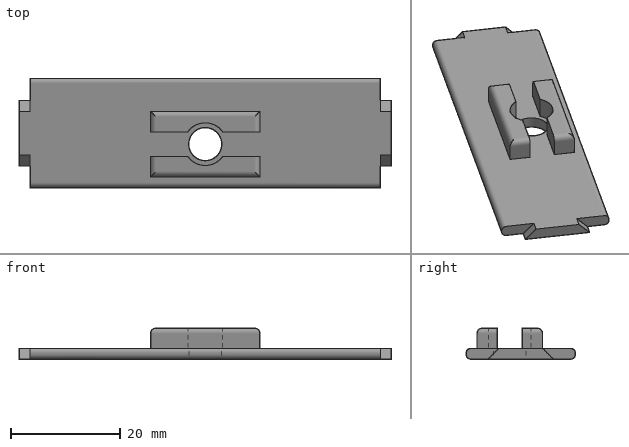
import cadquery as cq

overall_length = 68.0
overall_height = 5.7

plate_length = 64.0
plate_width = 20.0
plate_thickness = 2.0
plate_edge_radius = 0.9

tab_top_width = 8.0
tab_bottom_width = tab_top_width + 2 * plate_thickness

rail_length = 20.0
rail_span = 12.0
rail_gap = 4.5
rail_edge_radius = 1.0
rail_height = overall_height - plate_thickness
rail_width = (rail_span - rail_gap) / 2

hole_y = -2.0
hole_diameter = 6.0
head_clearance_diameter = 7.8


def make_plate():
    """Flat plate with both long edges rounded above and below."""
    plate = cq.Workplane("XY").box(
        plate_length, plate_width, plate_thickness, centered=(True, True, False)
    )
    long_edges = plate.edges("|X")
    return long_edges.fillet(plate_edge_radius)


def make_tab_bar():
    """Dovetail bar running through the plate and forming a tab at each end."""
    half_bottom = tab_bottom_width / 2
    half_top = tab_top_width / 2
    profile = [
        (-half_bottom, 0),
        (half_bottom, 0),
        (half_top, plate_thickness),
        (-half_top, plate_thickness),
    ]
    return cq.Workplane("YZ").polyline(profile).close().extrude(overall_length / 2, both=True)


def make_rail(side):
    """Rail on the +Y (side = 1) or -Y (side = -1) side of the hole, inner top edge left sharp."""
    centre_y = hole_y + side * (rail_gap + rail_width) / 2
    rail = (
        cq.Workplane("XY", origin=(0, centre_y, plate_thickness))
        .box(rail_length, rail_width, rail_height, centered=(True, True, False))
    )
    outer_edge = ">Y" if side > 0 else "<Y"
    rounded_edges = rail.faces(">Z").edges(f"|Y or {outer_edge}")
    return rounded_edges.fillet(rail_edge_radius)


def make_hole_cutter(diameter, bottom_z):
    """Vertical cylinder on the hole axis, from bottom_z up to the top of the rails."""
    return (
        cq.Workplane("XY", origin=(0, hole_y, bottom_z))
        .circle(diameter / 2)
        .extrude(overall_height - bottom_z)
    )


result = make_plate().union(make_tab_bar())
for rail_side in (1, -1):
    result = result.union(make_rail(rail_side))
result = result.cut(make_hole_cutter(head_clearance_diameter, plate_thickness))
result = result.cut(make_hole_cutter(hole_diameter, 0))